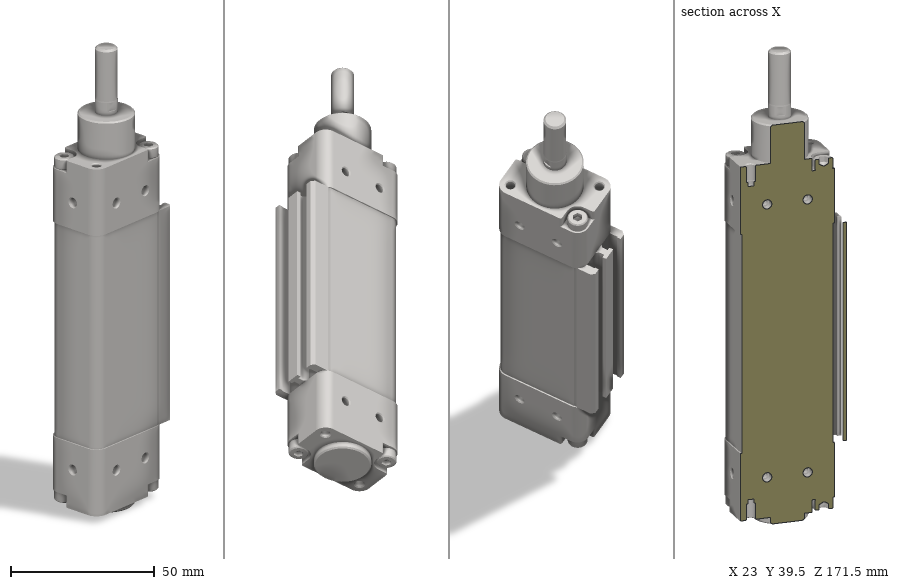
import cadquery as cq
import math

block_length = 25.0
tube_length = 80.5
collar_height = 14.0
end_disc_height = 2.5
rod_projection = 24.5

lower_block_z = 0.0
tube_z = lower_block_z + block_length
upper_block_z = tube_z + tube_length
housing_top_z = upper_block_z + block_length
collar_top_z = housing_top_z + collar_height
housing_mid_z = housing_top_z / 2

block_width = 23.0
block_depth = 35.0
block_corner_radius = 4.25
tube_inset = 0.5
tube_width = block_width - 2 * tube_inset
tube_depth = block_depth - 2 * tube_inset
tube_corner_radius = block_corner_radius - tube_inset

rail_top_y = 22.0
rail_corner_chamfer = 1.2
rail_groove_y = 14.0
rail_groove_width = 1.1
rail_groove_depth = 0.15
web_half_thickness = 1.2
web_lip_half_width = 2.4
wall_lip_x = 7.6
wall_inner_x = 7.9
slot_lip = 1.5
web_foot_chamfer = 1.4
slot_floor_y = tube_depth / 2

collar_diameter = 20.0
collar_chamfer = 0.5

thread_diameter = 3.24
thread_mouth_diameter = 4.0
thread_depth = 6.0
pilot_diameter = 2.2
pilot_depth = 1.5
face_hole_pitch = 15.0
face_hole_distance = 15.0

corner_x = 7.5
corner_y = 13.5
pocket_diameter = 8.57
pocket_depth = 4.6
pocket_exit_radius = 0.75
head_diameter = 7.0
head_height = 4.0
head_chamfer = 0.4
head_base_chamfer = 0.3
socket_across_flats = 3.12
socket_depth = 2.0
socket_cone_depth = 0.9

rod_diameter = 8.0
rod_thread_diameter = 7.9
rod_thread_length = 19.3
rod_shoulder_length = 0.5
rod_tip_chamfer = 0.7
rod_socket_depth = 10.0
flat_distance = 7.0
flat_angle = -16.0
flat_bottom = 1.5
flat_height = 3.2


def rounded_block(width, depth, radius, bottom_z, height):
    return (
        cq.Workplane("XY", origin=(0, 0, bottom_z))
        .rect(width, depth)
        .extrude(height)
        .edges("|Z")
        .fillet(radius)
    )


def box_between(x_min, x_max, y_min, y_max, z_min, z_max):
    size = (x_max - x_min, y_max - y_min, z_max - z_min)
    return cq.Workplane("XY", origin=(x_min, y_min, z_min)).box(*size, centered=False)


def cylinder(diameter, x, y, bottom_z, height):
    return cq.Workplane("XY", origin=(x, y, bottom_z)).circle(diameter / 2).extrude(height)


def threaded_hole(point, direction):
    """Blind hole cutter that starts at a face point and runs along the direction."""
    plane = cq.Plane(origin=point, normal=direction)
    mouth_depth = (thread_mouth_diameter - thread_diameter) / 2
    mouth = cq.Solid.makeCone(
        thread_mouth_diameter / 2, thread_diameter / 2, mouth_depth,
        cq.Vector(*point), cq.Vector(*direction),
    )
    thread = cq.Workplane(plane).circle(thread_diameter / 2).extrude(thread_depth)
    pilot = cq.Workplane(plane).circle(pilot_diameter / 2).extrude(thread_depth + pilot_depth)
    return thread.union(mouth).union(pilot)


def tube_prism(points):
    """Prism over the tube length with the given XY outline."""
    return cq.Workplane("XY", origin=(0, 0, tube_z)).polyline(points).close().extrude(tube_length)


def rail_slot():
    """T-slot on the +X side of the middle web, with a chamfered foot on the web."""
    lip_y = rail_top_y - slot_lip
    return tube_prism([
        (web_half_thickness + web_foot_chamfer, slot_floor_y),
        (wall_inner_x, slot_floor_y),
        (wall_inner_x, lip_y),
        (wall_lip_x, lip_y),
        (wall_lip_x, rail_top_y),
        (web_lip_half_width, rail_top_y),
        (web_lip_half_width, lip_y),
        (web_half_thickness, lip_y),
        (web_half_thickness, slot_floor_y + web_foot_chamfer),
    ])


def rail_groove():
    """Shallow groove along the +X face of the rail base."""
    return box_between(
        tube_width / 2 - rail_groove_depth, tube_width / 2,
        rail_groove_y, rail_groove_y + rail_groove_width,
        tube_z, upper_block_z,
    )


def tube():
    body = rounded_block(tube_width, tube_depth, tube_corner_radius, tube_z, tube_length)
    rail = box_between(-tube_width / 2, tube_width / 2, 0, rail_top_y, tube_z, upper_block_z)
    body = body.union(rail.edges("|Z and >Y").chamfer(rail_corner_chamfer))
    for cutter in (rail_slot(), rail_groove()):
        body = body.cut(cutter).cut(cutter.mirror("YZ"))
    return body


def corner_pocket():
    """Screw pocket at the -X -Y corner of the upper block, flaring out at both side faces."""
    inner_radius = pocket_diameter / 2
    x_end = -corner_x + inner_radius
    y_end = -corner_y + inner_radius
    x_face = -block_width / 2
    y_face = -block_depth / 2
    flare = pocket_exit_radius
    bend = flare * math.sqrt(0.5)
    arc_reach = inner_radius * math.sqrt(0.5)
    return (
        cq.Workplane("XY", origin=(0, 0, housing_top_z - pocket_depth))
        .moveTo(x_face, y_face)
        .lineTo(x_end + flare, y_face)
        .threePointArc((x_end + flare - bend, y_face + flare - bend), (x_end, y_face + flare))
        .lineTo(x_end, -corner_y)
        .threePointArc((-corner_x + arc_reach, -corner_y + arc_reach), (-corner_x, y_end))
        .lineTo(x_face + flare, y_end)
        .threePointArc((x_face + flare - bend, y_end + flare - bend), (x_face, y_end + flare))
        .close()
        .extrude(pocket_depth)
    )


def corner_screw():
    """Cap screw head in the -X -Y corner pocket, with a hexagon socket ending in a cone."""
    floor_z = housing_top_z - pocket_depth
    head_top_z = floor_z + head_height
    head = cylinder(head_diameter, -corner_x, -corner_y, floor_z, head_height)
    head = head.faces(">Z").chamfer(head_chamfer).faces("<Z").chamfer(head_base_chamfer)
    socket = (
        cq.Workplane("XY", origin=(-corner_x, -corner_y, head_top_z))
        .polygon(6, socket_across_flats, circumscribed=True)
        .extrude(-socket_depth)
    )
    cone = cq.Solid.makeCone(
        socket_across_flats / 2, 0, socket_cone_depth,
        cq.Vector(-corner_x, -corner_y, head_top_z - socket_depth), cq.Vector(0, 0, -1),
    )
    return head.cut(socket).cut(cone)


def at_screw_corners(shape):
    """Copies of a -X -Y upper corner shape at all four screw corners."""
    copies = []
    for angle in (0, 180):
        upper = shape.rotate((0, 0, 0), (0, 0, 1), angle)
        copies += [upper, upper.mirror("XY", (0, 0, housing_mid_z))]
    return copies


def make_housing():
    body = tube()
    for bottom_z in (lower_block_z, upper_block_z):
        body = body.union(
            rounded_block(block_width, block_depth, block_corner_radius, bottom_z, block_length)
        )
    collar = cylinder(collar_diameter, 0, 0, housing_top_z, collar_height)
    body = body.union(collar.faces(">Z").chamfer(collar_chamfer))
    disc = cylinder(collar_diameter, 0, 0, lower_block_z - end_disc_height, end_disc_height)
    body = body.union(disc.faces("<Z").chamfer(collar_chamfer))

    for pocket in at_screw_corners(corner_pocket()):
        body = body.cut(pocket)
    for screw in at_screw_corners(corner_screw()):
        body = body.union(screw)

    for z in (lower_block_z + face_hole_distance, housing_top_z - face_hole_distance):
        body = body.cut(threaded_hole((0, -block_depth / 2, z), (0, 1, 0)))
        for y in (-face_hole_pitch / 2, face_hole_pitch / 2):
            for side in (-1, 1):
                body = body.cut(threaded_hole((side * block_width / 2, y, z), (-side, 0, 0)))
    for side in (-1, 1):
        x = side * corner_x
        y = -side * corner_y
        body = body.cut(threaded_hole((x, y, housing_top_z), (0, 0, -1)))
        body = body.cut(threaded_hole((x, y, lower_block_z), (0, 0, 1)))
    return body.cut(cylinder(rod_diameter, 0, 0, collar_top_z - rod_socket_depth, rod_socket_depth))


def make_rod():
    """Rod with a slightly thinner threaded end above a conical shoulder."""
    radius = rod_diameter / 2
    thread_radius = rod_thread_diameter / 2
    bottom_z = collar_top_z - rod_socket_depth
    tip_z = collar_top_z + rod_projection
    thread_z = tip_z - rod_thread_length
    rod = (
        cq.Workplane("XZ")
        .polyline([
            (0, bottom_z),
            (radius, bottom_z),
            (radius, thread_z - rod_shoulder_length),
            (thread_radius, thread_z),
            (thread_radius, tip_z - rod_tip_chamfer),
            (thread_radius - rod_tip_chamfer, tip_z),
            (0, tip_z),
        ])
        .close()
        .revolve(360, (0, 0, 0), (0, 1, 0))
    )
    flat_z = collar_top_z + flat_bottom
    for side in (-1, 1):
        inner = side * flat_distance / 2
        outer = side * rod_diameter
        cutter = box_between(
            min(inner, outer), max(inner, outer), -rod_diameter, rod_diameter, flat_z, flat_z + flat_height
        )
        rod = rod.cut(cutter.rotate((0, 0, 0), (0, 0, 1), flat_angle))
    return rod


housing = make_housing()
rod = make_rod()
result = cq.Compound.makeCompound([housing.val(), rod.val()])